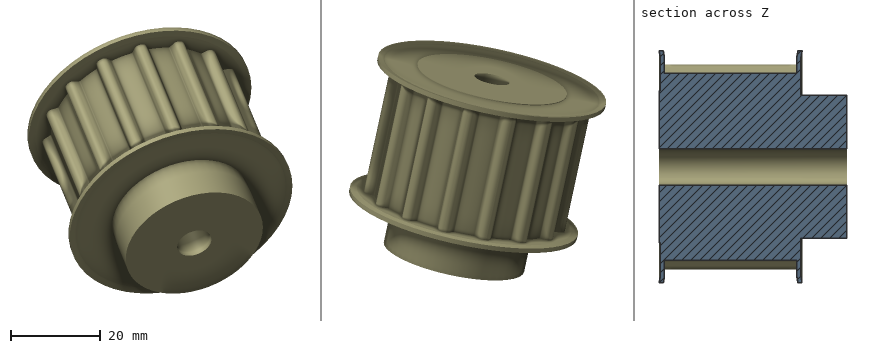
import cadquery as cq
import math

total_length = 42.0
hub_length = 10.0
pulley_length = total_length - hub_length
hub_radius = 16.0
bore_radius = 4.0

flange_radius = 26.0
flange_bend_radius = 24.5
plate_thickness = 1.05
rim_offset = 0.25

core_end_radius = 17.05
core_end_step = 0.2

tooth_count = 15
tip_radius = 23.0
root_radius = 20.9
tip_half_width = 1.05
flank_angle = math.radians(22)
tip_rounding = 1.35
root_fillet = 0.4
blank_overlap = 1.05
radius_tolerance = 0.005

drum_start = rim_offset + plate_thickness
drum_length = pulley_length - 2 * drum_start


def cylinder(radius, start, length):
    """Solid cylinder on the X axis."""
    return cq.Workplane("YZ", origin=(start, 0, 0)).circle(radius).extrude(length)


def tooth():
    """One tooth at +Z with straight flanks, running from inside the root up past the tip."""
    bottom = root_radius - blank_overlap
    top = tip_radius + blank_overlap
    bottom_half_width = tip_half_width + (tip_radius - bottom) * math.tan(flank_angle)
    top_half_width = tip_half_width + (tip_radius - top) * math.tan(flank_angle)
    return (
        cq.Workplane("YZ", origin=(drum_start, 0, 0))
        .moveTo(-bottom_half_width, bottom)
        .lineTo(bottom_half_width, bottom)
        .lineTo(top_half_width, top)
        .lineTo(-top_half_width, top)
        .close()
        .extrude(drum_length)
    )


def near_radius(edges, radius):
    """Lengthwise edges whose distance from the X axis matches the radius."""
    return [e for e in edges if abs(math.hypot(e.Center().y, e.Center().z) - radius) < radius_tolerance]


def drum():
    """Toothed drum with rounded tooth tips and filleted roots."""
    body = cylinder(root_radius, drum_start, drum_length)
    for index in range(tooth_count):
        body = body.union(tooth().rotate((0, 0, 0), (1, 0, 0), index * 360 / tooth_count))
    body = body.intersect(cylinder(tip_radius, drum_start, drum_length))
    solid = body.val()
    solid = solid.fillet(tip_rounding, near_radius(body.edges("|X").vals(), tip_radius))
    root_edges = near_radius(cq.Workplane(solid).edges("|X").vals(), root_radius)
    return cq.Workplane(solid.fillet(root_fillet, root_edges))


def flange():
    """Flange at the -X end: a flat plate whose rim is dished toward -X."""
    return (
        cq.Workplane("XY")
        .moveTo(rim_offset, 0)
        .lineTo(rim_offset, flange_bend_radius)
        .lineTo(0, flange_radius)
        .lineTo(plate_thickness, flange_radius)
        .lineTo(drum_start, flange_bend_radius)
        .lineTo(drum_start, 0)
        .close()
        .revolve(360, (0, 0, 0), (1, 0, 0))
    )


first_flange = flange()
second_flange = first_flange.mirror("YZ").translate((pulley_length, 0, 0))
core_end = cylinder(core_end_radius, rim_offset - core_end_step, plate_thickness)
hub = cylinder(hub_radius, pulley_length - drum_start, hub_length + drum_start)
bore = cylinder(bore_radius, 0, total_length)

result = drum().union(first_flange).union(second_flange).union(core_end).union(hub).cut(bore)